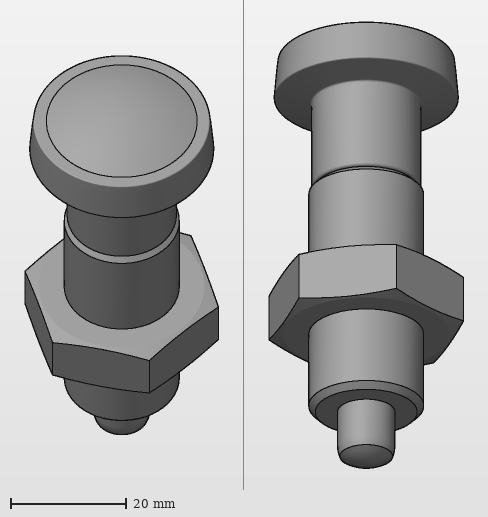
import cadquery as cq
import math


pin_radius = 5.0
pin_length = 10.0
tip_band_height = 2.0
tip_dome_height = 1.4

body_radius = 10.0
body_end_chamfer = 1.15
groove_height = 43.1

nut_flats = 30.0
nut_height = 10.0
nut_bottom = 15.0
nut_face_radius = 14.4
nut_chamfer_angle = 15.0

neck_radius = 9.5
neck_end_round = 0.5
head_bottom = 59.45
head_neck_fillet = 0.3
rim_bottom = 60.65
rim_bottom_radius = 16.01
rim_top = 68.0
rim_top_radius = 15.33
rim_bulge = 0.05
rim_edge_fillet = 0.25
knob_dome_radius = 13.1
knob_top = 71.0

position_tolerance = 0.001


def dome_point(base_radius, base_z, apex_z):
    """Point midway along the profile arc of a spherical cap centred on the Z axis."""
    rise = apex_z - base_z
    sphere_radius = (base_radius**2 + rise**2) / (2 * abs(rise))
    half_angle = math.asin(base_radius / sphere_radius) / 2
    drop = sphere_radius * (1 - math.cos(half_angle))
    return sphere_radius * math.sin(half_angle), apex_z - math.copysign(drop, rise)


def fillet_ring(solid, ring_radius, height, fillet_radius):
    """Round the circular edge of the given radius that lies at the given height."""

    def is_ring(edge):
        return (
            abs(edge.radius() - ring_radius) < position_tolerance
            and abs(edge.Center().z - height) < position_tolerance
        )

    return solid.edges("%CIRCLE").filter(is_ring).fillet(fillet_radius)


def make_plunger():
    """Pin, body and knob as one turned profile (radius, height)."""
    pin_end = -pin_length
    band_bottom = pin_end + tip_dome_height
    band_top = band_bottom + tip_band_height
    band_angle = math.asin(tip_band_height / pin_radius)
    band_end_radius = pin_radius * math.cos(band_angle)
    band_middle = (
        pin_radius * math.cos(band_angle / 2),
        band_top - pin_radius * math.sin(band_angle / 2),
    )

    groove_radius = neck_radius - neck_end_round
    body_top_chamfer = body_radius - groove_radius
    neck_bottom = groove_height + neck_end_round
    round_offset = neck_end_round * math.sqrt(0.5)
    neck_round_middle = (
        neck_radius - neck_end_round + round_offset,
        neck_bottom - round_offset,
    )

    rim_middle = (
        (rim_bottom_radius + rim_top_radius) / 2 + rim_bulge,
        (rim_bottom + rim_top) / 2,
    )

    profile = (
        cq.Workplane("XZ")
        .moveTo(0, pin_end)
        .threePointArc(
            dome_point(band_end_radius, band_bottom, pin_end),
            (band_end_radius, band_bottom),
        )
        .threePointArc(band_middle, (pin_radius, band_top))
        .lineTo(pin_radius, 0)
        .lineTo(body_radius - body_end_chamfer, 0)
        .lineTo(body_radius, body_end_chamfer)
        .lineTo(body_radius, groove_height - body_top_chamfer)
        .lineTo(groove_radius, groove_height)
        .threePointArc(neck_round_middle, (neck_radius, neck_bottom))
        .lineTo(neck_radius, head_bottom)
        .lineTo(rim_bottom_radius, rim_bottom)
        .threePointArc(rim_middle, (rim_top_radius, rim_top))
        .lineTo(knob_dome_radius, rim_top)
        .threePointArc(dome_point(knob_dome_radius, rim_top, knob_top), (0, knob_top))
        .close()
    )
    plunger = profile.revolve(360, (0, 0, 0), (0, 1, 0))
    plunger = fillet_ring(plunger, neck_radius, head_bottom, head_neck_fillet)
    plunger = fillet_ring(plunger, rim_bottom_radius, rim_bottom, rim_edge_fillet)
    return fillet_ring(plunger, rim_top_radius, rim_top, rim_edge_fillet)


def make_nut():
    """Hexagon nut, corners along Y, both faces chamfered by a cone."""
    corner_radius = nut_flats / math.sqrt(3)
    nut_top = nut_bottom + nut_height
    chamfer_drop = (corner_radius - nut_face_radius) * math.tan(math.radians(nut_chamfer_angle))
    hexagon = (
        cq.Workplane("XY")
        .workplane(offset=nut_bottom)
        .polygon(6, 2 * corner_radius)
        .extrude(nut_height)
        .rotate((0, 0, 0), (0, 0, 1), 90)
    )
    envelope = (
        cq.Workplane("XZ")
        .moveTo(0, nut_bottom)
        .lineTo(nut_face_radius, nut_bottom)
        .lineTo(corner_radius, nut_bottom + chamfer_drop)
        .lineTo(corner_radius, nut_top - chamfer_drop)
        .lineTo(nut_face_radius, nut_top)
        .lineTo(0, nut_top)
        .close()
        .revolve(360, (0, 0, 0), (0, 1, 0))
    )
    return hexagon.intersect(envelope)


result = make_plunger().union(make_nut())